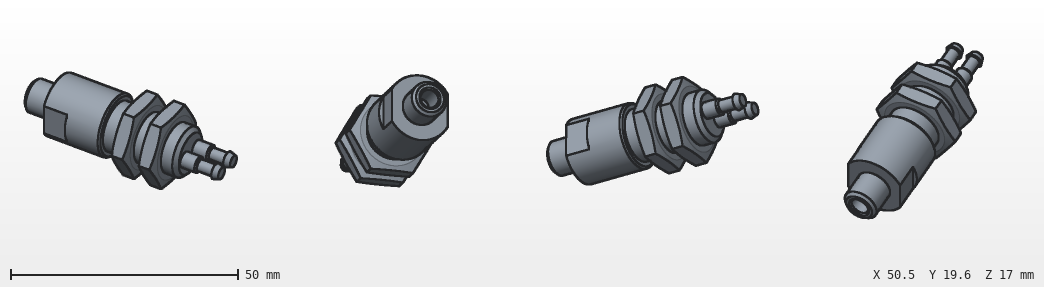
import cadquery as cq
import math

total_length = 50.5

nipple_diameter = 8.0
nipple_length = 7.0
nipple_chamfer = 0.75
bore_diameter = 4.15
bore_depth = nipple_length
bore_chamfer = 0.4

body_diameter = 15.0
body_end = 21.95
body_chamfer = 0.45
flat_width = 13.0
flat_length = 6.0

barrel_diameter = 12.0
barrel_end = 40.95
barrel_chamfer = 1.05

nut_across_flats = 17.0
nut_thickness = 4.0
nut_starts = (25.95, 33.0)
nut_face_diameter = 15.0
nut_bevel_angle = 15.0

stem_spacing = 5.0
stem_diameter = 3.8
stem_shoulder_end = 45.0
stem_chamfer = 0.4
stem_neck_diameter = 2.85
barb_length = 1.5


def cylinder(start, end, diameter):
    """Solid cylinder along X between two stations."""
    return cq.Workplane("YZ", origin=(start, 0, 0)).circle(diameter / 2).extrude(end - start)


def make_nipple():
    nipple = cylinder(0, nipple_length, nipple_diameter)
    return nipple.faces("<X").chamfer(nipple_chamfer)


def make_body():
    """Round body with a pair of wrench flats at its nipple end."""
    body = cylinder(nipple_length, body_end, body_diameter).faces(">X").chamfer(body_chamfer)
    flat_depth = (body_diameter - flat_width) / 2
    for side in (-1, 1):
        cutter = cq.Workplane("XY").box(flat_length, flat_depth, body_diameter)
        flat_center = (nipple_length + flat_length / 2, side * (flat_width + flat_depth) / 2, 0)
        body = body.cut(cutter.translate(flat_center))
    return body


def make_barrel():
    barrel = cylinder(body_end, barrel_end, barrel_diameter)
    return barrel.faces(">X").chamfer(barrel_chamfer)


def make_nut(start):
    """Hexagonal nut with corners on the Y axis and conical bevels on both faces."""
    across_corners = nut_across_flats / math.cos(math.radians(30))
    hexagon = cq.Workplane("YZ", origin=(start, 0, 0)).polygon(6, across_corners).extrude(nut_thickness)
    face_radius = nut_face_diameter / 2
    corner_radius = across_corners / 2
    bevel = (corner_radius - face_radius) * math.tan(math.radians(nut_bevel_angle))
    end = start + nut_thickness
    envelope = (
        cq.Workplane("XY")
        .polyline([
            (start, 0),
            (start, face_radius),
            (start + bevel, corner_radius),
            (end - bevel, corner_radius),
            (end, face_radius),
            (end, 0),
        ])
        .close()
        .revolve(360, (0, 0, 0), (1, 0, 0))
    )
    return hexagon.intersect(envelope)


def make_stem(y):
    """Hose stem: chamfered shoulder, thin neck and tapered barb."""
    shoulder = cylinder(barrel_end, stem_shoulder_end, stem_diameter).faces(">X").chamfer(stem_chamfer)
    neck = cylinder(stem_shoulder_end, total_length, stem_neck_diameter)
    barb_start = total_length - barb_length
    barb = (
        cq.Workplane("XY")
        .polyline([
            (barb_start, 0),
            (barb_start, stem_diameter / 2),
            (total_length, stem_neck_diameter / 2),
            (total_length, 0),
        ])
        .close()
        .revolve(360, (0, 0, 0), (1, 0, 0))
    )
    return shoulder.union(neck).union(barb).translate((0, y, 0))


def make_bore():
    """Blind bore with a chamfered mouth, as a cutting solid."""
    bore_radius = bore_diameter / 2
    return (
        cq.Workplane("XY")
        .polyline([
            (0, 0),
            (0, bore_radius + bore_chamfer),
            (bore_chamfer, bore_radius),
            (bore_depth, bore_radius),
            (bore_depth, 0),
        ])
        .close()
        .revolve(360, (0, 0, 0), (1, 0, 0))
    )


result = make_nipple().union(make_body()).union(make_barrel())
for nut_start in nut_starts:
    result = result.union(make_nut(nut_start))
for stem_side in (-1, 1):
    result = result.union(make_stem(stem_side * stem_spacing / 2))
result = result.cut(make_bore())